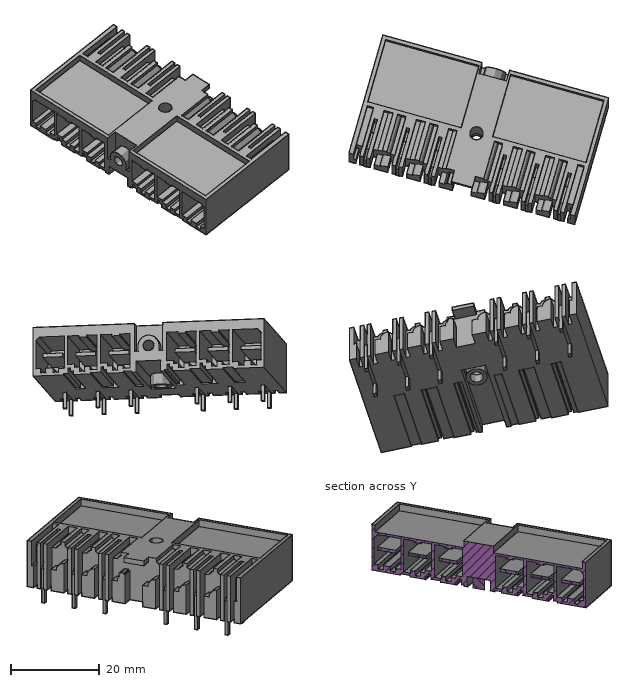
import cadquery as cq


WIDTH = 53.35
DEPTH = 28.3
HEIGHT = 11.3
LEG_LENGTH = 3.6
HALF_WIDTH = WIDTH / 2

PITCH = 7.65
CONTACT_XS = [n * PITCH for n in (-3, -2, -1, 1, 2, 3)]
LEFT_END_X = CONTACT_XS[0]
RIGHT_END_X = CONTACT_XS[-1]
INNER_CONTACT_XS = CONTACT_XS[1:-1]

BLADE_WIDTH = 4.6
BLADE_THICKNESS = 0.85
BLADE_Z = 5.6
BLADE_FRONT_Y = 4.25
WEB_THICKNESS = 0.75
LEG_WIDTH = 1.0
LEG_PITCH = PITCH
WEB_REAR_Y = DEPTH - 0.55
WEB_FRONT_Y = WEB_REAR_Y - LEG_PITCH - LEG_WIDTH
WEB_TOP_Z = 6.95
BLADE_ROOT_LENGTH = 2.4
WEB_STEP_Y = WEB_FRONT_Y + BLADE_ROOT_LENGTH
WEB_SLOPE_LENGTH = 2.25
WEB_SLOPE_DROP = 2.15

CHAMBER_DEPTH = 15.45
CHAMBER_TOP_Z = 9.0
INNER_CHAMBER_LEFT = -3.45
INNER_CHAMBER_RIGHT = 3.35
END_CHAMBER_OUTER = 3.15
END_CHAMBER_INNER = 3.45
END_CHAMBER_BEVEL = 0.85
FLOOR_Z = 1.7
CHANNEL_Z = 0.7
LEFT_LEDGE_Z = 2.4
RIGHT_LEDGE_Z = 1.0
END_LEDGE_Z = 1.55
CEILING_KEY_Z = 8.65
CEILING_KEY_LEFT = -0.85
CEILING_KEY_RIGHT = 0.9
LEFT_LEDGE_X = -1.85
RIGHT_LEDGE_X = 1.75
CHANNEL_LEFT = -0.7
CHANNEL_RIGHT = 0.55
END_CHANNEL_NEAR = 0.85
END_CHANNEL_FAR = 2.1

GROOVE_RIGHT = -2.1
GROOVE_STEP = -2.8
GROOVE_LEFT = -3.3
GROOVE_STEP_Z = 0.85
GROOVE_TOP_Z = 1.55
RELIEF_TOP_Z = 0.3
RELIEF_LEFT = -5.7
RELIEF_LEFT_BY_END = -4.3
RELIEF_LEFT_BY_FLANGE = -3.95

POCKET_DEPTH = 1.65
POCKET_SIDE_WALL = 0.9
POCKET_FRONT_WALL = 0.85
POCKET_INNER_X = 3.75
POCKET_REAR_Y = DEPTH - 12.55

BAY_FRONT_Y = DEPTH - 11.65
RIB_WIDTH = 2.5
BAY_WIDTH = PITCH - RIB_WIDTH
BAY_DEPTH = 1.75
BAY_FLOOR_Z = HEIGHT - BAY_DEPTH
RIDGE_LEFT = -0.65
RIDGE_RIGHT = 0.45
BARREL_RADIUS = 1.7
BARREL_Z = HEIGHT - 2.45
CENTRE_BLOCK_HALF_WIDTH = 4.45
END_WALL = 1.05
END_BLOCK_WIDTH = 1.65
END_BLOCK_TOP_Z = 5.35

REAR_STEP = 2.6
REAR_FACE_Y = DEPTH - REAR_STEP
BUMP_WIDTH = 3.2
BUMP_RADIUS = 1.9
BUMP_TOP_Z = 7.2
TAB_WIDTH = 5.0
TAB_THICKNESS = 1.2
TAB_FOOT_LEFT_X = 2.5
TAB_FOOT_STEP_X = 3.4
TAB_FOOT_RIGHT_X = 3.7
TAB_FOOT_TOP_Z = 7.45
TAB_FOOT_STEP_HEIGHT = 0.15

FLANGE_NOTCH_WIDTH = 6.5
FLANGE_NOTCH_DEPTH = 2.6
FLANGE_FLOOR_Z = 4.85
BOSS_RADIUS = 2.4
BOSS_Z = 6.1
BOSS_HOLE_RADIUS = 1.25
BOSS_HOLE_DEPTH = 8.0
FLANGE_GROOVE_WIDTH = 0.2
FLANGE_GROOVE_DEPTH = 0.55
MOUNT_HOLE_RADIUS = 1.5
MOUNT_Y = DEPTH - 12.25
BUSHING_RADIUS = BOSS_RADIUS
BUSHING_HEIGHT = 2.55
RECESS_HALF_WIDTH = 2.85


def box(x0, x1, y0, y1, z0, z1):
    """Block between opposite corners."""
    return cq.Workplane("XY").box(x1 - x0, y1 - y0, z1 - z0, centered=False).translate((x0, y0, z0))


def section(y):
    """XZ work plane at depth y, where a negative extrusion length runs toward the rear."""
    return cq.Workplane("XZ", origin=(0, y, 0))


def prism(points, y0, y1):
    """XZ outline swept from y0 back to y1."""
    return section(y0).polyline(points).close().extrude(y0 - y1)


def inner_chamber(x):
    """Keyed plug chamber with a ceiling key, two ledges and one floor channel."""
    outline = [
        (INNER_CHAMBER_LEFT, CHAMBER_TOP_Z),
        (CEILING_KEY_LEFT, CHAMBER_TOP_Z),
        (CEILING_KEY_LEFT, CEILING_KEY_Z),
        (CEILING_KEY_RIGHT, CEILING_KEY_Z),
        (CEILING_KEY_RIGHT, CHAMBER_TOP_Z),
        (INNER_CHAMBER_RIGHT, CHAMBER_TOP_Z),
        (INNER_CHAMBER_RIGHT, RIGHT_LEDGE_Z),
        (RIGHT_LEDGE_X, RIGHT_LEDGE_Z),
        (RIGHT_LEDGE_X, FLOOR_Z),
        (CHANNEL_RIGHT, FLOOR_Z),
        (CHANNEL_RIGHT, CHANNEL_Z),
        (CHANNEL_LEFT, CHANNEL_Z),
        (CHANNEL_LEFT, FLOOR_Z),
        (LEFT_LEDGE_X, FLOOR_Z),
        (LEFT_LEDGE_X, LEFT_LEDGE_Z),
        (INNER_CHAMBER_LEFT, LEFT_LEDGE_Z),
    ]
    return prism(outline, 0, CHAMBER_DEPTH).translate((x, 0, 0))


def left_end_chamber():
    """Plug chamber of the left end contact, with a bevelled outer corner and two floor channels."""
    outline = [
        (-END_CHAMBER_OUTER, CHAMBER_TOP_Z - END_CHAMBER_BEVEL),
        (-END_CHAMBER_OUTER + END_CHAMBER_BEVEL, CHAMBER_TOP_Z),
        (END_CHAMBER_INNER, CHAMBER_TOP_Z),
        (END_CHAMBER_INNER, END_LEDGE_Z),
        (END_CHANNEL_FAR, END_LEDGE_Z),
        (END_CHANNEL_FAR, CHANNEL_Z),
        (END_CHANNEL_NEAR, CHANNEL_Z),
        (END_CHANNEL_NEAR, FLOOR_Z),
        (-END_CHANNEL_NEAR, FLOOR_Z),
        (-END_CHANNEL_NEAR, CHANNEL_Z),
        (-END_CHANNEL_FAR, CHANNEL_Z),
        (-END_CHANNEL_FAR, FLOOR_Z),
        (-END_CHAMBER_OUTER, FLOOR_Z),
    ]
    return prism(outline, 0, CHAMBER_DEPTH).translate((LEFT_END_X, 0, 0))


def cut_chambers(body):
    for x in INNER_CONTACT_XS:
        body = body.cut(inner_chamber(x))
    end_chamber = left_end_chamber()
    return body.cut(end_chamber).cut(end_chamber.mirror("YZ"))


def coding_groove(x, relief_left):
    """Stepped groove with a shallow relief on its left."""
    outline = [
        (relief_left, 0),
        (relief_left, RELIEF_TOP_Z),
        (GROOVE_LEFT, RELIEF_TOP_Z),
        (GROOVE_LEFT, GROOVE_TOP_Z),
        (GROOVE_STEP, GROOVE_TOP_Z),
        (GROOVE_STEP, GROOVE_STEP_Z),
        (GROOVE_RIGHT, GROOVE_STEP_Z),
        (GROOVE_RIGHT, 0),
    ]
    return prism(outline, 0, CHAMBER_DEPTH).translate((x, 0, 0))


def cut_coding_grooves(body):
    reliefs = (RELIEF_LEFT_BY_END, RELIEF_LEFT, RELIEF_LEFT_BY_FLANGE, RELIEF_LEFT)
    for x, relief_left in zip(INNER_CONTACT_XS, reliefs):
        body = body.cut(coding_groove(x, relief_left))
    for x, relief_right in ((0, RELIEF_LEFT_BY_FLANGE), (RIGHT_END_X, GROOVE_LEFT)):
        body = body.cut(box(x + RELIEF_LEFT, x + relief_right, 0, CHAMBER_DEPTH, 0, RELIEF_TOP_Z))
    return body


def cut_label_pockets(body):
    pocket = box(
        -HALF_WIDTH + POCKET_SIDE_WALL, -POCKET_INNER_X,
        POCKET_FRONT_WALL, POCKET_REAR_Y,
        HEIGHT - POCKET_DEPTH, HEIGHT,
    )
    return body.cut(pocket).cut(pocket.mirror("YZ"))


def bay_hollow(x):
    """Space above a bay floor, around the barrel that rises through the middle of the floor."""
    half_bay = BAY_WIDTH / 2
    hollow = box(x - half_bay, x + half_bay, BAY_FRONT_Y, DEPTH, BAY_FLOOR_Z, HEIGHT)
    barrel = section(BAY_FRONT_Y).center(x, BARREL_Z).circle(BARREL_RADIUS).extrude(BAY_FRONT_Y - DEPTH)
    return hollow.cut(barrel)


def cut_bays(body):
    for n in (-2.5, -1.5, 1.5, 2.5):
        x = n * PITCH
        ridge = box(x + RIDGE_LEFT, x + RIDGE_RIGHT, BAY_FRONT_Y, DEPTH, BAY_FLOOR_Z, HEIGHT)
        body = body.cut(bay_hollow(x).cut(ridge))

    half_block = CENTRE_BLOCK_HALF_WIDTH
    centre_block = box(-half_block, half_block, BAY_FRONT_Y, DEPTH, BAY_FLOOR_Z, HEIGHT)
    for n in (-0.5, 0.5):
        body = body.cut(bay_hollow(n * PITCH).cut(centre_block))

    end_bay = box(
        -HALF_WIDTH + END_WALL, LEFT_END_X - RIB_WIDTH / 2,
        BAY_FRONT_Y, DEPTH, BAY_FLOOR_Z, HEIGHT,
    )
    return body.cut(end_bay).cut(end_bay.mirror("YZ"))


def cut_rear_step(body):
    """Clear the rear strip except for the end walls and the contact ribs."""
    strip = box(-HALF_WIDTH + END_WALL, HALF_WIDTH - END_WALL, REAR_FACE_Y, DEPTH, 0, HEIGHT)
    for x in CONTACT_XS:
        strip = strip.cut(box(x - RIB_WIDTH / 2, x + RIB_WIDTH / 2, REAR_FACE_Y, DEPTH, 0, HEIGHT))
    return body.cut(strip)


def rear_bump(x):
    """Block behind a bay, rounded off to the right down to a flat shelf."""
    left = -BUMP_WIDTH / 2
    shelf_z = BUMP_TOP_Z - BUMP_RADIUS
    half_chord = BUMP_RADIUS * 0.5 ** 0.5
    return (
        section(REAR_FACE_Y)
        .moveTo(left, 0)
        .lineTo(left, BUMP_TOP_Z)
        .threePointArc((left + half_chord, shelf_z + half_chord), (left + BUMP_RADIUS, shelf_z))
        .lineTo(-left, shelf_z)
        .lineTo(-left, 0)
        .close()
        .extrude(-REAR_STEP)
        .translate((x, 0, 0))
    )


def add_rear_features(body):
    for n in (-2.5, -1.5, -0.5, 0.5, 1.5, 2.5):
        body = body.union(rear_bump(n * PITCH))

    end_block = box(-HALF_WIDTH, -HALF_WIDTH + END_BLOCK_WIDTH, REAR_FACE_Y, DEPTH, 0, END_BLOCK_TOP_Z)
    body = body.union(end_block).union(end_block.mirror("YZ"))

    tab = box(-TAB_WIDTH / 2, TAB_WIDTH / 2, REAR_FACE_Y, DEPTH, HEIGHT - TAB_THICKNESS, HEIGHT)
    body = body.union(tab)

    step_z = TAB_FOOT_TOP_Z - TAB_FOOT_STEP_HEIGHT
    body = body.union(box(TAB_FOOT_LEFT_X, TAB_FOOT_STEP_X, REAR_FACE_Y, DEPTH, 0, TAB_FOOT_TOP_Z))
    return body.union(box(TAB_FOOT_LEFT_X, TAB_FOOT_RIGHT_X, REAR_FACE_Y, DEPTH, 0, step_z))


def cut_contact_seats(body):
    """Open slot through each rib for the contact web, and an opening in the wall for the blade."""
    half_web = WEB_THICKNESS / 2
    for x in CONTACT_XS:
        body = body.cut(box(x - half_web, x + half_web, WEB_FRONT_Y, DEPTH, 0, HEIGHT))
        body = body.cut(contact_blade(x))
    return body


def cut_flange(body):
    half_notch = FLANGE_NOTCH_WIDTH / 2
    notch = box(-half_notch, half_notch, 0, FLANGE_NOTCH_DEPTH, FLANGE_FLOOR_Z, HEIGHT)
    arch = section(0).center(0, BOSS_Z).circle(BOSS_RADIUS).extrude(-FLANGE_NOTCH_DEPTH)
    pedestal = box(-BOSS_RADIUS, BOSS_RADIUS, 0, FLANGE_NOTCH_DEPTH, FLANGE_FLOOR_Z, BOSS_Z)
    body = body.cut(notch.cut(arch).cut(pedestal))

    groove = box(
        -half_notch, -BOSS_RADIUS,
        FLANGE_NOTCH_DEPTH - FLANGE_GROOVE_WIDTH, FLANGE_NOTCH_DEPTH,
        FLANGE_FLOOR_Z - FLANGE_GROOVE_DEPTH, FLANGE_FLOOR_Z,
    )
    body = body.cut(groove).cut(groove.mirror("YZ"))

    boss_hole = section(0).center(0, BOSS_Z).circle(BOSS_HOLE_RADIUS).extrude(-BOSS_HOLE_DEPTH)
    mount_hole = cq.Workplane("XY").center(0, MOUNT_Y).circle(MOUNT_HOLE_RADIUS).extrude(HEIGHT)
    recess_rear_y = MOUNT_Y + RECESS_HALF_WIDTH
    recess = box(-RECESS_HALF_WIDTH, RECESS_HALF_WIDTH, 0, recess_rear_y, 0, BUSHING_HEIGHT)
    return body.cut(boss_hole).cut(mount_hole).cut(recess)


def make_housing():
    body = box(-HALF_WIDTH, HALF_WIDTH, 0, DEPTH, 0, HEIGHT)
    body = cut_chambers(body)
    body = cut_coding_grooves(body)
    body = cut_label_pockets(body)
    body = cut_bays(body)
    body = cut_rear_step(body)
    body = add_rear_features(body)
    body = cut_contact_seats(body)
    return cut_flange(body)


def contact_blade(x):
    half_width = BLADE_WIDTH / 2
    half_thickness = BLADE_THICKNESS / 2
    return box(
        x - half_width, x + half_width,
        BLADE_FRONT_Y, WEB_FRONT_Y,
        BLADE_Z - half_thickness, BLADE_Z + half_thickness,
    )


def make_contact(x):
    """Flat blade joined to an upright web that carries two solder legs."""
    rear_leg_front_y = WEB_REAR_Y - LEG_WIDTH
    front_leg_rear_y = WEB_FRONT_Y + LEG_WIDTH
    root_z = BLADE_Z + BLADE_THICKNESS / 2
    web_outline = [
        (WEB_FRONT_Y, -LEG_LENGTH),
        (WEB_FRONT_Y, root_z),
        (WEB_STEP_Y, root_z),
        (WEB_STEP_Y, WEB_TOP_Z),
        (WEB_REAR_Y - WEB_SLOPE_LENGTH, WEB_TOP_Z),
        (WEB_REAR_Y, WEB_TOP_Z - WEB_SLOPE_DROP),
        (WEB_REAR_Y, -LEG_LENGTH),
        (rear_leg_front_y, -LEG_LENGTH),
        (rear_leg_front_y, 0),
        (front_leg_rear_y, 0),
        (front_leg_rear_y, -LEG_LENGTH),
    ]
    web = (
        cq.Workplane("YZ", origin=(x, 0, 0))
        .polyline(web_outline)
        .close()
        .extrude(WEB_THICKNESS / 2, both=True)
    )
    return web.union(contact_blade(x))


def make_bushing():
    """Sleeve around the mounting hole, standing in the recess under the flange."""
    return (
        cq.Workplane("XY", origin=(0, MOUNT_Y, 0))
        .circle(BUSHING_RADIUS)
        .circle(MOUNT_HOLE_RADIUS)
        .extrude(BUSHING_HEIGHT)
    )


housing = make_housing()
contacts = [make_contact(x) for x in CONTACT_XS]
bushing = make_bushing()

result = cq.Compound.makeCompound([
    housing.val(),
    *[contact.val() for contact in contacts],
    bushing.val(),
])